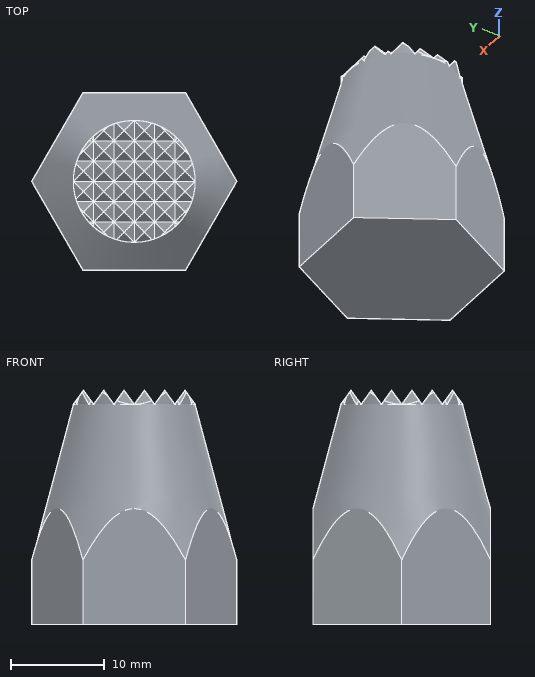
import cadquery as cq
import math

total_height = 25.0
hex_across_corners = 21.9
tip_radius = 6.5
cone_angle = 15.0
tooth_height = 1.5
teeth_across = 6

hex_radius = hex_across_corners / 2
tooth_pitch = 2 * tip_radius / teeth_across
shoulder_height = total_height - tooth_height
cone_end_height = shoulder_height - (hex_radius - tip_radius) / math.tan(math.radians(cone_angle))


def hexagonal_bar():
    """Full-height hexagonal bar with two corners on the X axis."""
    return cq.Workplane("XY").polygon(6, hex_across_corners).extrude(total_height)


def turned_envelope():
    """Turned shape that tapers the bar from its corners to the round end."""
    return (
        cq.Workplane("YZ")
        .lineTo(-hex_radius, 0)
        .lineTo(-hex_radius, cone_end_height)
        .lineTo(-tip_radius, shoulder_height)
        .lineTo(-tip_radius, total_height)
        .lineTo(0, total_height)
        .close()
        .revolve(360, (0, 0), (0, 1))
    )


def tooth_groove(plane, position):
    """V-groove across the round end, with its bottom at shoulder height."""
    return (
        cq.Workplane(plane)
        .moveTo(position, shoulder_height)
        .lineTo(position + tooth_pitch / 2, total_height)
        .lineTo(position - tooth_pitch / 2, total_height)
        .close()
        .extrude(hex_radius, both=True)
    )


result = hexagonal_bar().intersect(turned_envelope())

for groove in range(teeth_across + 1):
    groove_position = -tip_radius + groove * tooth_pitch
    for groove_plane in ("XZ", "YZ"):
        result = result.cut(tooth_groove(groove_plane, groove_position))